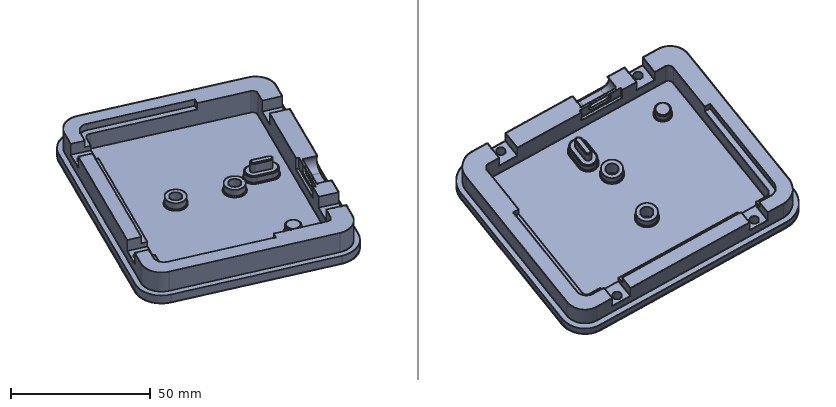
import cadquery as cq

length = 100.0
width = 85.0
total_height = 12.8
flange_height = 4.0
corner_radius = 10.0
foot_chamfer = 0.4

wall_inset = 2.2
wall_length = length - 2 * wall_inset
wall_width = width - 2 * wall_inset
wall_corner_radius = corner_radius - wall_inset
cavity_length = 80.0
cavity_width = 65.2
cavity_corner_radius = 2.0
floor_height = 3.0

ledge_margin = 2.3
ledge_depth = 2.9
ledge_back_y = 10.2
ledge_corner_radius = 4.0

screw_x = 29.5
screw_y = 37.5
screw_hole_diameter = 3.4
notch_width = 7.8
notch_depth = 5.0

post_height = 3.2
post_chamfer = 0.4
boss_positions = [(0, 10.0), (0, -12.5)]
boss_diameter = 8.0
boss_hole_diameter = 4.7
pin_position = (29.5, 21.5)
pin_diameter = 6.0

rib_position = (-4.5, 21.8)
rib_straight = 6.0
pad_width = 7.0
rib_width = 2.6
rib_height = 4.2

connector_x = 10.7
recess_width = 17.5
recess_depth = 1.1
recess_drop = 5.0
web_thickness = 0.9
connector_center_height = 10.8
plug_straight = 9.0
plug_diameter = 7.2
plug_end_chamfer = 0.3
socket_width = 9.5
socket_height = 3.8

cutter_overlap = 1.0


def plane_at(height):
    return cq.Workplane("XY").workplane(offset=height)


def rounded_block(size_x, size_y, bottom, top, radius):
    """Block centred on the Z axis with rounded vertical edges."""
    block = plane_at(bottom).rect(size_x, size_y).extrude(top - bottom)
    return block.edges("|Z").fillet(radius)


def oblong_along_y(plane, diameter, straight):
    """Outline with round ends; a zero straight length gives a circle."""
    if straight == 0:
        return plane.circle(diameter / 2)
    return plane.slot2D(straight + diameter, diameter, 90)


def tray():
    flange = rounded_block(length, width, 0, flange_height, corner_radius)
    flange = flange.faces("<Z").chamfer(foot_chamfer)
    wall = rounded_block(wall_length, wall_width, flange_height, total_height, wall_corner_radius)
    cavity = rounded_block(cavity_length, cavity_width, floor_height, total_height, cavity_corner_radius)
    return flange.union(wall).cut(cavity)


def ledge_cutter():
    size_x = cavity_length + 2 * ledge_margin
    front_y = -cavity_width / 2 - ledge_margin
    cutter = (
        plane_at(total_height - ledge_depth)
        .center(0, (ledge_back_y + front_y) / 2)
        .rect(size_x, ledge_back_y - front_y)
        .extrude(ledge_depth + cutter_overlap)
    )
    return cutter.edges("|Z and <Y").fillet(ledge_corner_radius)


def screw_cutter():
    notches = (
        plane_at(total_height - notch_depth)
        .pushPoints([(-screw_x, 0), (screw_x, 0)])
        .rect(notch_width, width)
        .extrude(notch_depth + cutter_overlap)
    )
    holes = (
        cq.Workplane("XY")
        .rect(2 * screw_x, 2 * screw_y, forConstruction=True)
        .vertices()
        .circle(screw_hole_diameter / 2)
        .extrude(total_height)
    )
    return notches.union(holes)


def connector_cutter():
    """Inner recess, outer plug channel, and the socket hole through the web between them."""
    recess_y = cavity_width / 2 + recess_depth
    plug_y = recess_y + web_thickness
    back_y = width / 2

    recess = (
        plane_at(total_height - recess_drop)
        .center(connector_x, recess_y / 2)
        .rect(recess_width, recess_y)
        .extrude(recess_drop + cutter_overlap)
    )
    plug = (
        cq.Workplane("XZ", origin=(connector_x, plug_y, connector_center_height))
        .slot2D(plug_straight + plug_diameter, plug_diameter)
        .extrude(plug_y - back_y)
        .faces("<Y")
        .chamfer(plug_end_chamfer)
    )
    socket = (
        cq.Workplane("XZ", origin=(connector_x, recess_y, connector_center_height))
        .slot2D(socket_width, socket_height)
        .extrude(recess_y - back_y)
    )
    return recess.union(plug).union(socket)


def post(position, diameter, straight=0):
    """Floor post with a 45 degree skirt around its foot."""
    floor = plane_at(floor_height).center(*position)
    body = oblong_along_y(floor, diameter, straight).extrude(post_height)
    skirt = oblong_along_y(floor, diameter + 2 * post_chamfer, straight).extrude(post_chamfer, taper=45)
    return body.union(skirt)


def locating_pin():
    return post(pin_position, pin_diameter).faces(">Z").chamfer(post_chamfer)


def ribbed_pad():
    pad = post(rib_position, pad_width, rib_straight).faces(">Z").chamfer(post_chamfer)
    pad_top = plane_at(floor_height + post_height).center(*rib_position)
    rib = oblong_along_y(pad_top, rib_width, rib_straight).extrude(rib_height)
    return pad.union(rib.faces(">Z").chamfer(post_chamfer))


def boss_hole_cutter():
    return cq.Workplane("XY").pushPoints(boss_positions).circle(boss_hole_diameter / 2).extrude(total_height)


result = tray().cut(ledge_cutter()).cut(screw_cutter()).cut(connector_cutter())
for boss_position in boss_positions:
    result = result.union(post(boss_position, boss_diameter))
result = result.union(locating_pin()).union(ribbed_pad()).cut(boss_hole_cutter())